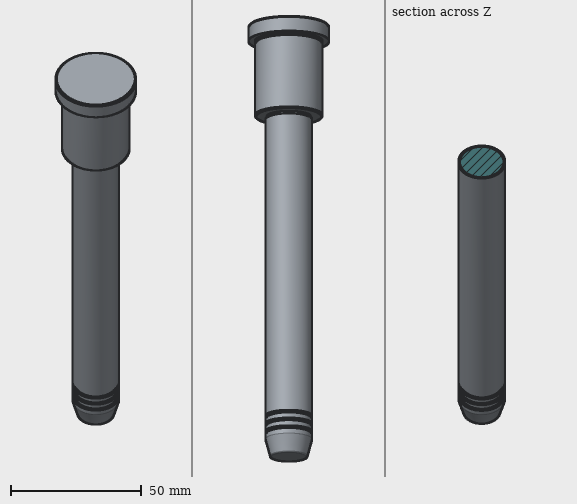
import cadquery as cq
import math

length = 171.0
head_radius = 31.0 / 2
head_height = 6.0
edge_chamfer = 0.5

sleeve_radius = 26.0 / 2
sleeve_bottom = 135.1

shank_radius = 18.0 / 2

head_relief_depth = 0.5
relief_width = 1.0
relief_depth = 0.5

groove_count = 3
groove_pitch = 3.0
groove_depth = 0.5

taper_height = 7.0
taper_angle = math.radians(15)
tip_radius = shank_radius - taper_height * math.tan(taper_angle)
tip_fillet = 0.5
lowest_groove_center = taper_height + groove_pitch - groove_depth


def cylinder(radius, bottom, top):
    """Solid cylinder on the Z axis between two heights."""
    return cq.Workplane("XY").workplane(offset=bottom).circle(radius).extrude(top - bottom)


def ring_groove(radius, depth, bottom, width):
    """Cutter for a rectangular groove around a cylinder."""
    return (
        cq.Workplane("XY")
        .workplane(offset=bottom)
        .circle(radius + depth)
        .circle(radius - depth)
        .extrude(width)
    )


def v_groove(radius, depth, center_height):
    """Cutter for a 90-degree V groove around a cylinder."""
    profile = [
        (radius - depth, center_height),
        (radius + depth, center_height - 2 * depth),
        (radius + depth, center_height + 2 * depth),
    ]
    return cq.Workplane("XZ").polyline(profile).close().revolve(360, (0, 0, 0), (0, 1, 0))


head_bottom = length - head_height

head = cylinder(head_radius, head_bottom, length).faces(">Z").edges().chamfer(edge_chamfer)

sleeve = cylinder(sleeve_radius, sleeve_bottom, head_bottom).faces("<Z").edges().chamfer(edge_chamfer)
sleeve = sleeve.cut(v_groove(sleeve_radius, head_relief_depth, head_bottom - head_relief_depth))

shank = cylinder(shank_radius, taper_height, sleeve_bottom)
shank = shank.cut(ring_groove(shank_radius, relief_depth, sleeve_bottom - relief_width, relief_width))
for index in range(groove_count):
    groove_center = lowest_groove_center + index * groove_pitch
    shank = shank.cut(v_groove(shank_radius, groove_depth, groove_center))

tip = (
    cq.Workplane("XZ")
    .polyline([(0, 0), (tip_radius, 0), (shank_radius, taper_height), (0, taper_height)])
    .close()
    .revolve(360, (0, 0, 0), (0, 1, 0))
    .faces("<Z")
    .edges()
    .fillet(tip_fillet)
)

result = head.union(sleeve).union(shank).union(tip)